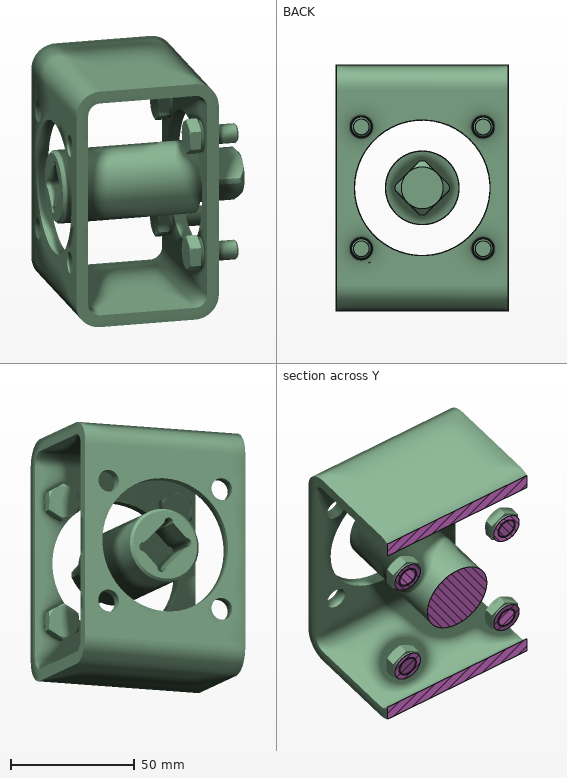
import cadquery as cq
import math

frame_length = 70.0
frame_depth = 60.0
frame_height = 100.0
wall = 5.0
outer_corner_radius = 10.0
inner_corner_radius = outer_corner_radius - wall
spigot_diameter = 55.0
bolt_circle_diameter = 70.0
bolt_hole_diameter = 9.0
bolt_offset = bolt_circle_diameter / 2 / math.sqrt(2)

front_face_y = -frame_depth / 2
back_face_y = frame_depth / 2
back_wall_inner_y = back_face_y - wall
bolt_places = [(x, z) for x in (-bolt_offset, bolt_offset) for z in (-bolt_offset, bolt_offset)]

shaft_diameter = 30.0
shaft_front_y = front_face_y
shaft_front_chamfer = 1.0
shoulder_recess = 2.0
shaft_shoulder_y = back_face_y - shoulder_recess
tang_protrusion = 18.0
tang_end_y = back_face_y + tang_protrusion
tang_across_flats = 17.0
tang_corner_diameter = 22.0
tang_chamfer = 2.5
tang_angle = 45.0
socket_length = 18.0
socket_width = 13.6
socket_depth = 20.0
socket_angle = 45.0
relief_radius = 1.9
relief_inset = 1.2

washer_outer_diameter = 13.0
washer_hole_diameter = 8.4
washer_thickness = 0.8
washer_bevel_height = washer_thickness / 2

bolt_diameter = 8.0
bolt_length = 16.0
bolt_tip_chamfer = 0.8
head_across_flats = 13.0
head_height = 5.3
head_collar_diameter = 11.63
head_collar_height = 0.6
head_top_diameter = 13.0
head_chamfer_angle = 30.0
head_corner_angle = 90.0
head_seat_y = back_wall_inner_y - washer_thickness


def plane_at(y):
    """Workplane facing -Y; its local axes are the part's X and Z."""
    return cq.Workplane("XZ", origin=(0, y, 0))


def cylinder_along_y(diameter, start_y, end_y):
    return plane_at(start_y).circle(diameter / 2).extrude(start_y - end_y)


def make_frame():
    outside = (
        cq.Workplane("YZ")
        .rect(frame_depth, frame_height)
        .extrude(frame_length / 2, both=True)
        .edges("|X")
        .fillet(outer_corner_radius)
    )
    inside = (
        cq.Workplane("YZ")
        .rect(frame_depth - 2 * wall, frame_height - 2 * wall)
        .extrude(frame_length / 2, both=True)
        .edges("|X")
        .fillet(inner_corner_radius)
    )
    spigot_hole = cylinder_along_y(spigot_diameter, front_face_y, back_face_y)
    bolt_holes = (
        plane_at(front_face_y)
        .pushPoints(bolt_places)
        .circle(bolt_hole_diameter / 2)
        .extrude(-frame_depth)
    )
    return outside.cut(inside).cut(spigot_hole).cut(bolt_holes)


def make_tang():
    square = (
        plane_at(shaft_shoulder_y)
        .transformed(rotate=(0, 0, tang_angle))
        .rect(tang_across_flats, tang_across_flats)
        .extrude(shaft_shoulder_y - tang_end_y)
    )
    envelope = (
        cylinder_along_y(tang_corner_diameter, shaft_shoulder_y, tang_end_y)
        .faces(">Y")
        .chamfer(tang_chamfer)
    )
    return square.intersect(envelope)


def make_socket():
    """Rectangular socket with a round relief in each corner."""
    plane = plane_at(shaft_front_y).transformed(rotate=(0, 0, socket_angle))
    pocket = plane.rect(socket_length, socket_width).extrude(-socket_depth)
    reliefs = (
        plane
        .rect(socket_length - 2 * relief_inset, socket_width - 2 * relief_inset, forConstruction=True)
        .vertices()
        .circle(relief_radius)
        .extrude(-socket_depth)
    )
    return pocket.union(reliefs)


def make_shaft():
    body = (
        cylinder_along_y(shaft_diameter, shaft_front_y, shaft_shoulder_y)
        .faces("<Y")
        .chamfer(shaft_front_chamfer)
    )
    return body.union(make_tang()).cut(make_socket())


def make_washer(x, z):
    """The rim is bevelled down to the bolt head collar on the side facing the head."""
    bevel_width = (washer_outer_diameter - head_collar_diameter) / 2
    disc = (
        cylinder_along_y(washer_outer_diameter, head_seat_y, back_wall_inner_y)
        .faces("<Y")
        .chamfer(washer_bevel_height, bevel_width)
    )
    hole = cylinder_along_y(washer_hole_diameter, head_seat_y, back_wall_inner_y)
    return disc.cut(hole).translate((x, 0, z))


def make_bolt_head():
    hex_end_y = head_seat_y - head_height
    hex_start_y = head_seat_y - head_collar_height
    hex_height = hex_start_y - hex_end_y
    corner_radius = head_across_flats / math.sqrt(3)
    hexagon = (
        plane_at(hex_start_y)
        .transformed(rotate=(0, 0, head_corner_angle))
        .polygon(6, 2 * corner_radius)
        .extrude(hex_height)
    )
    bevel_width = corner_radius - head_top_diameter / 2
    bevel_height = bevel_width * math.tan(math.radians(head_chamfer_angle))
    envelope = (
        cylinder_along_y(2 * corner_radius, hex_start_y, hex_end_y)
        .faces("<Y")
        .chamfer(bevel_height, bevel_width)
    )
    collar = cylinder_along_y(head_collar_diameter, head_seat_y, hex_start_y)
    return hexagon.intersect(envelope).union(collar)


def make_bolt(x, z):
    shank = (
        cylinder_along_y(bolt_diameter, head_seat_y, head_seat_y + bolt_length)
        .faces(">Y")
        .chamfer(bolt_tip_chamfer)
    )
    return make_bolt_head().union(shank).translate((x, 0, z))


frame = make_frame()
shaft = make_shaft()
washers = [make_washer(x, z) for x, z in bolt_places]
bolts = [make_bolt(x, z) for x, z in bolt_places]

result = cq.Compound.makeCompound(
    [frame.val(), shaft.val()]
    + [washer.val() for washer in washers]
    + [bolt.val() for bolt in bolts]
)